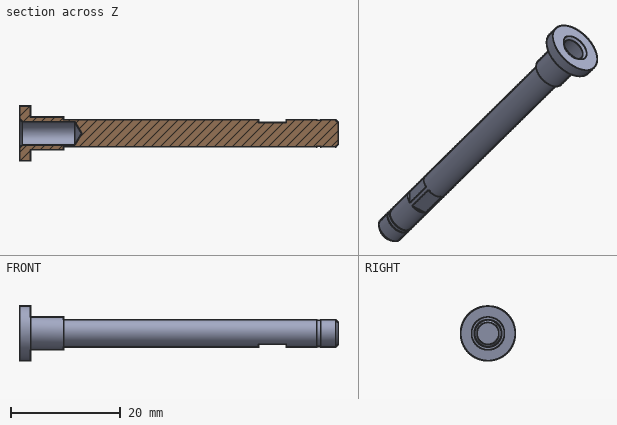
import cadquery as cq
import math

total_length = 58.0
head_thickness = 2.0
collar_end = 8.0

head_diameter = 10.0
collar_diameter = 6.0
shank_diameter = 5.0
tip_chamfer = 0.5

groove_start = 54.1
groove_width = 0.7
groove_diameter = 4.8

flat_start = 43.5
flat_length = 5.0
flat_depth = 0.5

hole_diameter = 4.2
hole_mouth_diameter = 5.2
hole_depth = 10.0
drill_point_angle = 118.0


def cylinder(start, length, diameter):
    """Solid cylinder on the X axis."""
    return cq.Workplane("YZ").workplane(offset=start).circle(diameter / 2).extrude(length)


def make_body():
    """Headed pin with a collar and a chamfered tip."""
    shank = cylinder(0, total_length, shank_diameter).faces(">X").chamfer(tip_chamfer)
    collar = cylinder(0, collar_end, collar_diameter)
    head = cylinder(0, head_thickness, head_diameter)
    return shank.union(collar).union(head)


def make_groove():
    """Ring of material removed by the groove."""
    outer = cylinder(groove_start, groove_width, shank_diameter)
    return outer.cut(cylinder(groove_start, groove_width, groove_diameter))


def make_flat(turn):
    """Block that cuts one flat on the -Z side, turned about X by the given angle."""
    flat_distance = shank_diameter / 2 - flat_depth
    block = cq.Workplane("XY").box(
        flat_length, shank_diameter, shank_diameter, centered=(False, True, False)
    )
    block = block.translate((flat_start, 0, -flat_distance - shank_diameter))
    return block.rotate((0, 0, 0), (1, 0, 0), turn)


def make_hole():
    """Countersunk blind hole with a conical drill point, revolved about X."""
    hole_radius = hole_diameter / 2
    mouth_radius = hole_mouth_diameter / 2
    mouth_depth = mouth_radius - hole_radius
    point_length = hole_radius / math.tan(math.radians(drill_point_angle / 2))
    profile = (
        cq.Workplane("XY")
        .polyline([
            (0, 0),
            (0, mouth_radius),
            (mouth_depth, hole_radius),
            (hole_depth, hole_radius),
            (hole_depth + point_length, 0),
        ])
        .close()
    )
    return profile.revolve(360, (0, 0, 0), (1, 0, 0))


result = make_body().cut(make_groove()).cut(make_hole())
for turn in (0, 90):
    result = result.cut(make_flat(turn))